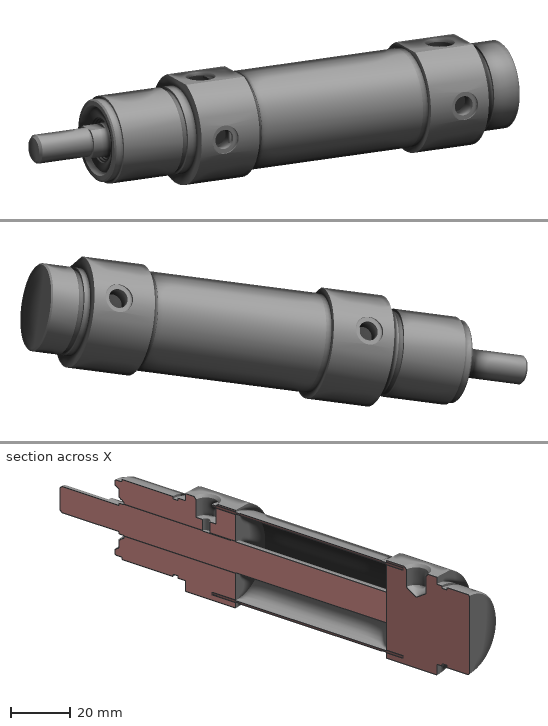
import cadquery as cq


ROD_SHOULDER_Y = 20.0
NOSE_START_Y = 23.6
NOSE_THREAD_Y = 26.6
FRONT_BLOCK_Y = 54.0
REAR_BLOCK_Y = 140.5
REAR_END_Y = 176.4

THREAD_RADIUS = 5.0
ROD_RADIUS = 5.8
ROD_CHAMFER = 0.9
ROD_FLAT_DISTANCE = 5.0

BLOCK_DIAMETER = 38.0
BLOCK_RADIUS = BLOCK_DIAMETER / 2
BLOCK_LENGTH = 21.9
BLOCK_HEIGHT = 36.5
BLOCK_TOP_Z = BLOCK_HEIGHT - BLOCK_RADIUS
NECK_LENGTH = 2.0
PORT_SETBACK = 9.0

END_RADIUS = 15.0
RELIEF_RADIUS = 14.1
RELIEF_WIDTH = 2.0
FRONT_RELIEF_OFFSET = 3.2
REAR_RELIEF_OFFSET = 2.1
END_CHAMFER = 0.5

RECESS_MOUTH_RADIUS = 12.0
RECESS_FLOOR_RADIUS = 11.0
RECESS_DEPTH = 1.8
GLAND_STEP_RADII = (6.7, 7.2, 7.8)
GLAND_STEP_DEPTH = 0.7

PORT_DIAMETER = 8.3
PORT_RADIUS = PORT_DIAMETER / 2
PORT_MOUTH_RADIUS = 5.1
PORT_CHAMFER = PORT_MOUTH_RADIUS - PORT_RADIUS
PORT_FLOOR_Z = 10.0
REAR_PORT_TIP_DEPTH = 2.5
AIR_HOLE_RADIUS = 1.5
PIVOT_RADIUS = 3.4
PIVOT_MOUTH_RADIUS = 5.0
PIVOT_SHELF_X = 18.0
PIVOT_FLOOR_X = 12.3

TUBE_RADIUS = 17.0
TUBE_END_RADIUS = 16.8
TUBE_BORE_RADIUS = 16.0
TUBE_FRONT_Y = 65.6
TUBE_REAR_INSERTION = 7.0

FRONT_BLOCK_END_Y = FRONT_BLOCK_Y + BLOCK_LENGTH
FRONT_NECK_END_Y = FRONT_BLOCK_END_Y + NECK_LENGTH
REAR_NECK_START_Y = REAR_BLOCK_Y - NECK_LENGTH
REAR_BLOCK_END_Y = REAR_BLOCK_Y + BLOCK_LENGTH
TUBE_REAR_Y = REAR_BLOCK_Y + TUBE_REAR_INSERTION
FRONT_PORT_Y = FRONT_BLOCK_Y + PORT_SETBACK
REAR_PORT_Y = REAR_BLOCK_END_Y - PORT_SETBACK


def turned(profile):
    """Solid of revolution about the Y axis from (radius, y) points."""
    return cq.Workplane("XY").polyline(profile).close().revolve(360, (0, 0, 0), (0, 1, 0))


def flat_on_block(start_y):
    """Stock removed to leave the flat on top of a port block."""
    return (
        cq.Workplane("XY")
        .box(BLOCK_DIAMETER, BLOCK_LENGTH, BLOCK_RADIUS, centered=(True, False, False))
        .translate((0, start_y, BLOCK_TOP_Z))
    )


def port(tip_depth, center_y):
    """Vertical port with a chamfered mouth and a flat or pointed bottom."""
    profile = [
        (0, BLOCK_TOP_Z),
        (PORT_MOUTH_RADIUS, BLOCK_TOP_Z),
        (PORT_RADIUS, BLOCK_TOP_Z - PORT_CHAMFER),
        (PORT_RADIUS, PORT_FLOOR_Z),
        (0, PORT_FLOOR_Z - tip_depth),
    ]
    tool = cq.Workplane("XZ").polyline(profile).close().revolve(360, (0, 0, 0), (0, 1, 0))
    return tool.translate((0, center_y, 0))


def cut_pivot_holes(head, center_y):
    """Counterbored blind holes on both sides of a port block."""
    for side in (-1, 1):
        for radius, floor_x in ((PIVOT_MOUTH_RADIUS, PIVOT_SHELF_X), (PIVOT_RADIUS, PIVOT_FLOOR_X)):
            tool = (
                cq.Workplane("YZ", origin=(side * floor_x, center_y, 0))
                .circle(radius)
                .extrude(side * (BLOCK_RADIUS - floor_x))
            )
            head = head.cut(tool)
    return head


def gland_steps(floor_y):
    """Profile points of the stepped counterbore round the rod, from the rod out to the recess floor."""
    y = floor_y + len(GLAND_STEP_RADII) * GLAND_STEP_DEPTH
    points = [(ROD_RADIUS, y)]
    for radius in GLAND_STEP_RADII:
        points.append((radius, y))
        y -= GLAND_STEP_DEPTH
        points.append((radius, y))
    return points


def make_front_head():
    """Front head with threaded nose, slot for the tube end and bore for the rod."""
    relief_end = FRONT_BLOCK_Y - FRONT_RELIEF_OFFSET
    relief_start = relief_end - RELIEF_WIDTH
    recess_floor = NOSE_START_Y + RECESS_DEPTH
    head = turned([
        *gland_steps(recess_floor),
        (RECESS_FLOOR_RADIUS, recess_floor),
        (RECESS_MOUTH_RADIUS, NOSE_START_Y),
        (RELIEF_RADIUS - END_CHAMFER, NOSE_START_Y),
        (RELIEF_RADIUS, NOSE_START_Y + END_CHAMFER),
        (RELIEF_RADIUS, NOSE_THREAD_Y),
        (END_RADIUS, NOSE_THREAD_Y),
        (END_RADIUS, relief_start),
        (RELIEF_RADIUS, relief_start),
        (RELIEF_RADIUS, relief_end),
        (END_RADIUS, relief_end),
        (END_RADIUS, FRONT_BLOCK_Y),
        (BLOCK_RADIUS, FRONT_BLOCK_Y),
        (BLOCK_RADIUS, FRONT_BLOCK_END_Y),
        (TUBE_END_RADIUS, FRONT_BLOCK_END_Y),
        (TUBE_END_RADIUS, TUBE_FRONT_Y),
        (TUBE_BORE_RADIUS, TUBE_FRONT_Y),
        (TUBE_BORE_RADIUS, FRONT_BLOCK_END_Y),
        (ROD_RADIUS, FRONT_BLOCK_END_Y),
    ])
    head = head.cut(flat_on_block(FRONT_BLOCK_Y))
    head = head.cut(port(0, FRONT_PORT_Y))
    air_hole = (
        cq.Workplane("XY", origin=(0, FRONT_PORT_Y, 0)).circle(AIR_HOLE_RADIUS).extrude(PORT_FLOOR_Z)
    )
    head = head.cut(air_hole)
    return cut_pivot_holes(head, FRONT_PORT_Y)


def make_rear_head():
    """Rear head with threaded stub and slot for the tube end."""
    relief_start = REAR_BLOCK_END_Y + REAR_RELIEF_OFFSET
    relief_end = relief_start + RELIEF_WIDTH
    head = turned([
        (0, REAR_BLOCK_Y),
        (TUBE_BORE_RADIUS, REAR_BLOCK_Y),
        (TUBE_BORE_RADIUS, TUBE_REAR_Y),
        (TUBE_END_RADIUS, TUBE_REAR_Y),
        (TUBE_END_RADIUS, REAR_BLOCK_Y),
        (BLOCK_RADIUS, REAR_BLOCK_Y),
        (BLOCK_RADIUS, REAR_BLOCK_END_Y),
        (END_RADIUS, REAR_BLOCK_END_Y),
        (END_RADIUS, relief_start),
        (RELIEF_RADIUS, relief_start),
        (RELIEF_RADIUS, relief_end),
        (END_RADIUS, relief_end),
        (END_RADIUS, REAR_END_Y - END_CHAMFER),
        (END_RADIUS - END_CHAMFER, REAR_END_Y),
        (0, REAR_END_Y),
    ])
    head = head.cut(flat_on_block(REAR_BLOCK_Y))
    head = head.cut(port(REAR_PORT_TIP_DEPTH, REAR_PORT_Y))
    return cut_pivot_holes(head, REAR_PORT_Y)


def make_tube():
    """Barrel held between the heads."""
    return turned([
        (TUBE_BORE_RADIUS, TUBE_FRONT_Y),
        (TUBE_END_RADIUS, TUBE_FRONT_Y),
        (TUBE_END_RADIUS, FRONT_NECK_END_Y),
        (TUBE_RADIUS, FRONT_NECK_END_Y),
        (TUBE_RADIUS, REAR_NECK_START_Y),
        (TUBE_END_RADIUS, REAR_NECK_START_Y),
        (TUBE_END_RADIUS, TUBE_REAR_Y),
        (TUBE_BORE_RADIUS, TUBE_REAR_Y),
    ])


def make_rod():
    """Piston rod with wrench flats behind its threaded tip."""
    rod = turned([
        (0, 0),
        (THREAD_RADIUS - ROD_CHAMFER, 0),
        (THREAD_RADIUS, ROD_CHAMFER),
        (THREAD_RADIUS, ROD_SHOULDER_Y),
        (ROD_RADIUS, ROD_SHOULDER_Y),
        (ROD_RADIUS, REAR_BLOCK_Y),
        (0, REAR_BLOCK_Y),
    ])
    flat_length = NOSE_START_Y + RECESS_DEPTH - ROD_SHOULDER_Y
    for side in (-1, 1):
        stock = cq.Workplane("XY").box(2 * ROD_RADIUS, flat_length, ROD_RADIUS, centered=(True, False, True))
        offset_z = side * (ROD_FLAT_DISTANCE + ROD_RADIUS / 2)
        rod = rod.cut(stock.translate((0, ROD_SHOULDER_Y, offset_z)))
    return rod


front_head = make_front_head()
rear_head = make_rear_head()
tube = make_tube()
rod = make_rod()

result = cq.Compound.makeCompound([front_head.val(), rear_head.val(), tube.val(), rod.val()])